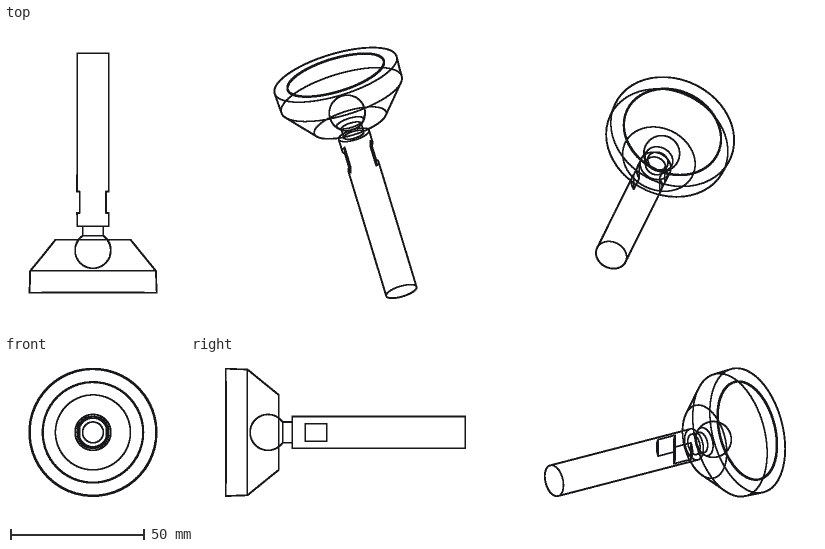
import cadquery as cq
import math

total_length = 90.0

foot_diameter = 48.0
rim_top_diameter = 47.3
rim_height = 8.2
foot_top_diameter = 28.2
foot_height = 20.0

groove_outer_diameter = 38.0
groove_inner_diameter = 37.5
groove_depth = 0.3

ball_diameter = 13.5
neck_diameter = 7.8
neck_start = 21.4
shaft_diameter = 12.0
shaft_start = 24.9
flat_start = 30.0
flat_length = 8.0
across_flats = 10.0

ball_radius = ball_diameter / 2
neck_radius = neck_diameter / 2
shaft_radius = shaft_diameter / 2

ball_center = neck_start - math.sqrt(ball_radius**2 - neck_radius**2)


def revolve_about_y(profile):
    """Turn a closed XY profile once around the Y axis."""
    return profile.revolve(360, (0, 0, 0), (0, 1, 0))


def make_ring_groove():
    """Ring-shaped cutter for the groove in the underside."""
    groove_width = (groove_outer_diameter - groove_inner_diameter) / 2
    profile = (
        cq.Workplane("XY")
        .moveTo(groove_inner_diameter / 2, 0)
        .rect(groove_width, groove_depth, centered=False)
    )
    return revolve_about_y(profile)


def make_stem():
    """Ball-ended stem with a pair of wrench flats facing -X and +X."""
    profile = (
        cq.Workplane("XY")
        .moveTo(0, ball_center - ball_radius)
        .threePointArc((ball_radius, ball_center), (neck_radius, neck_start))
        .lineTo(neck_radius, shaft_start)
        .lineTo(shaft_radius, shaft_start)
        .lineTo(shaft_radius, total_length)
        .lineTo(0, total_length)
        .close()
    )
    stem = revolve_about_y(profile)
    flat_depth = (shaft_diameter - across_flats) / 2
    for side in (-1, 1):
        flat_cutter = cq.Workplane("XY").box(flat_depth, flat_length, shaft_diameter).translate(
            (side * (across_flats + flat_depth) / 2, flat_start + flat_length / 2, 0)
        )
        stem = stem.cut(flat_cutter)
    return stem


def make_foot():
    """Round foot with a ball socket that opens through its top face."""
    profile = (
        cq.Workplane("XY")
        .moveTo(0, 0)
        .lineTo(foot_diameter / 2, 0)
        .lineTo(rim_top_diameter / 2, rim_height)
        .lineTo(foot_top_diameter / 2, foot_height)
        .lineTo(0, foot_height)
        .close()
    )
    socket = cq.Workplane("XY").sphere(ball_radius).translate((0, ball_center, 0))
    return revolve_about_y(profile).cut(socket).cut(make_ring_groove())


stem = make_stem()
foot = make_foot()

result = cq.Compound.makeCompound([stem.solids().val(), foot.solids().val()])